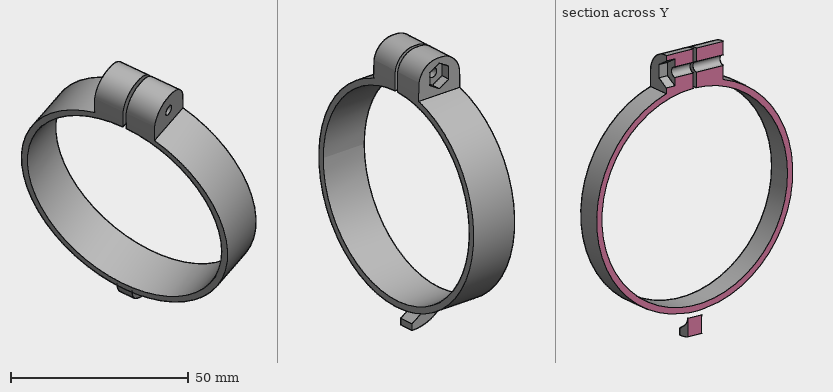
import cadquery as cq

ring_diameter = 69.0
ring_bore = 65.0
band_width = 15.0
half_band = band_width / 2

lug_length = 20.1
lug_top = 44.5
lug_side_top = 35.0
shoulder_height = 38.75
shoulder_y = half_band - 0.1
crown_y = 0.5
side_bow_radius = 82.2
shoulder_radius = 6.9
split_gap = 1.0
split_overrun = 0.9

screw_diameter = 3.0
nut_corner_diameter = 8.0
nut_depth = 3.0

hook_width = 5.0
hook_root_z = -33.65
hook_bottom = lug_top - 86.5
hook_tip_y = 3.8
hook_tip_height = 2.1
hook_back_via = (-7.1, -36.2)
hook_back_end = (-5.9, -38.5)
hook_belly_via = (-2.25, -40.8)
throat_start_z = -35.5
throat_via = (0.4, -37.3)
throat_end = (1.6, -38.5)


def cylinder_along_y(diameter):
    return cq.Workplane("XZ", origin=(0, half_band, 0)).circle(diameter / 2).extrude(band_width)


def make_lug():
    """Rounded block spanning both sides of the split, reaching down into the ring."""
    return (
        cq.Workplane("YZ")
        .moveTo(-half_band, 0)
        .lineTo(half_band, 0)
        .lineTo(half_band, lug_side_top)
        .radiusArc((shoulder_y, shoulder_height), -side_bow_radius)
        .radiusArc((crown_y, lug_top), -shoulder_radius)
        .lineTo(-crown_y, lug_top)
        .radiusArc((-shoulder_y, shoulder_height), -shoulder_radius)
        .radiusArc((-half_band, lug_side_top), -side_bow_radius)
        .close()
        .extrude(lug_length / 2, both=True)
    )


def make_hook():
    """Curved hook whose tip points toward +Y."""
    return (
        cq.Workplane("YZ")
        .moveTo(0, hook_root_z)
        .lineTo(-half_band, hook_root_z)
        .threePointArc(hook_back_via, hook_back_end)
        .threePointArc(hook_belly_via, (hook_tip_y, hook_bottom))
        .lineTo(hook_tip_y, hook_bottom + hook_tip_height)
        .lineTo(*throat_end)
        .threePointArc(throat_via, (0, throat_start_z))
        .close()
        .extrude(hook_width / 2, both=True)
    )


def make_split():
    size = (split_gap, band_width + split_overrun, lug_top + split_overrun)
    return cq.Workplane("XY").box(*size, centered=(True, True, False))


def make_screw_cut():
    """Through hole along X with a hexagonal nut pocket in the -X face, corners up and down."""
    lug_face = cq.Workplane("YZ", origin=(-lug_length / 2, 0, shoulder_height))
    hole = lug_face.circle(screw_diameter / 2).extrude(lug_length)
    nut = lug_face.transformed(rotate=(0, 0, 90)).polygon(6, nut_corner_diameter).extrude(nut_depth)
    return hole.union(nut)


result = (
    cylinder_along_y(ring_diameter)
    .union(make_lug())
    .union(make_hook())
    .cut(cylinder_along_y(ring_bore))
    .cut(make_split())
    .cut(make_screw_cut())
)